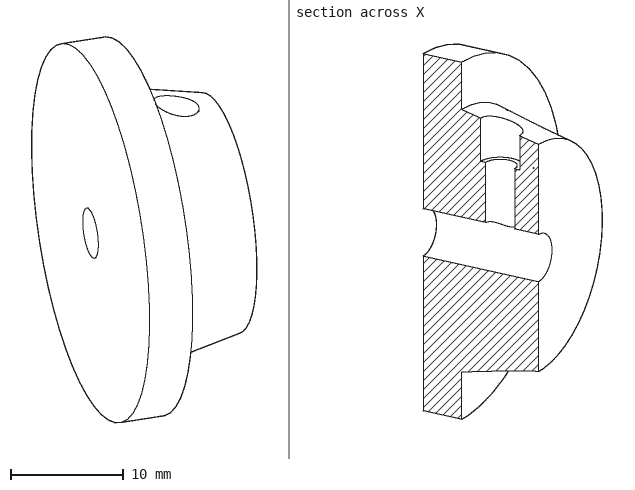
import cadquery as cq

flange_diameter = 34.0
flange_thickness = 4.0

hub_length = 8.0
hub_base_diameter = 25.02
hub_end_diameter = 21.62

bore_diameter = 4.5

screw_hole_diameter = 3.0
screw_recess_diameter = 4.0
screw_recess_floor = 8.0

total_length = flange_thickness + hub_length
screw_y = flange_thickness + hub_length / 2


def make_body():
    """Flange and tapered hub, revolved about the Y axis."""
    profile = (
        cq.Workplane("YZ")
        .lineTo(0, flange_diameter / 2)
        .lineTo(flange_thickness, flange_diameter / 2)
        .lineTo(flange_thickness, hub_base_diameter / 2)
        .lineTo(total_length, hub_end_diameter / 2)
        .lineTo(total_length, 0)
        .close()
    )
    return profile.revolve(360, (0, 0), (1, 0))


def radial_cutter(diameter, start_height):
    """Cylinder along +Z at the screw position, reaching past the hub surface."""
    return (
        cq.Workplane("XY", origin=(0, screw_y, start_height))
        .circle(diameter / 2)
        .extrude(hub_base_diameter / 2 - start_height)
    )


bore = cq.Workplane("XZ").circle(bore_diameter / 2).extrude(-total_length)

result = (
    make_body()
    .cut(bore)
    .cut(radial_cutter(screw_hole_diameter, 0))
    .cut(radial_cutter(screw_recess_diameter, screw_recess_floor))
)